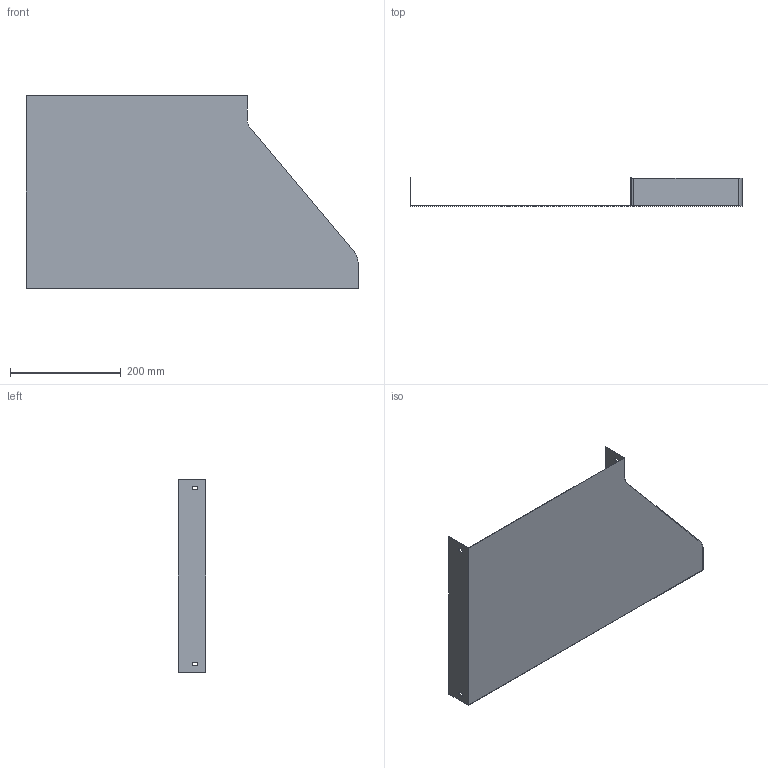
import cadquery as cq
import math

length = 600.0
height = 348.0
depth = 50.0
sheet = 0.8

top_length = 400.0
slope_from_vertical = 40.0
lower_corner_z = 58.1
convex_radius = 30.0
concave_radius = 20.0

slot_length = 10.0
slot_width = 6.0
slot_y = 20.0
slot_edge_distance = 15.0

slope_rise = (length - top_length) / math.tan(math.radians(slope_from_vertical))
upper_corner_z = lower_corner_z + slope_rise


def round_corner(body, x, z, radius):
    """Fillet the depthwise edge that stands at the sharp corner (x, z)."""
    corner = cq.selectors.NearestToPointSelector((x, depth / 2, z))
    return body.edges("|Y").edges(corner).fillet(radius)


def solid_block():
    """Panel outline with rounded corners, filled over the full depth from Y = 0."""
    outline = [
        (0, 0),
        (length, 0),
        (length, lower_corner_z),
        (top_length, upper_corner_z),
        (top_length, height),
        (0, height),
    ]
    body = cq.Workplane("XZ").polyline(outline).close().extrude(-depth)
    body = round_corner(body, length, lower_corner_z, convex_radius)
    return round_corner(body, top_length, upper_corner_z, concave_radius)


def folded_tray():
    """Thin panel with flanges along its left and right edges; back, top and bottom are open."""
    return solid_block().faces(">Y or >Z or <Z").shell(-sheet)


def mounting_slots():
    """Slot cutters near the top and bottom, running along X through both flanges."""
    centers = [
        (slot_y, slot_edge_distance),
        (slot_y, height - slot_edge_distance),
    ]
    slots = cq.Workplane("YZ").pushPoints(centers)
    return slots.slot2D(slot_length, slot_width).extrude(length)


result = folded_tray().cut(mounting_slots())